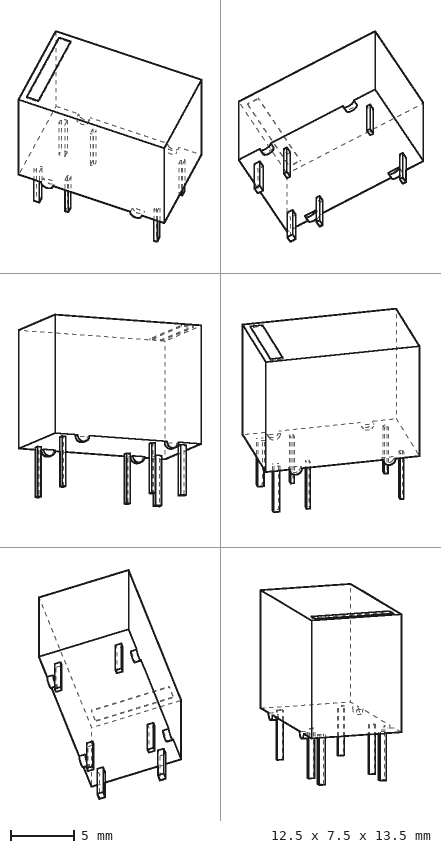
import cadquery as cq

total_height = 13.5
housing_length = 12.5
housing_width = 7.5
pin_length = 4.0
housing_height = total_height - pin_length

foot_radius = 0.5
foot_width = 0.5
foot_x = 3.81

grid_pitch = 2.54
coil_pin_side = 0.5
contact_pin_thickness = 0.3
contact_pin_width = coil_pin_side
coil_pin_x = -5.12
contact_pin_xs = (-grid_pitch, 2 * grid_pitch)
pin_row_ys = (-grid_pitch, grid_pitch)

mark_margin = 0.5
mark_width = 1.0
mark_depth = 0.1
mark_length = housing_width - 2 * mark_margin
mark_x = -housing_length / 2 + mark_margin + mark_width / 2


def make_mark():
    """Rectangular bar whose top face is level with the housing top."""
    return (
        cq.Workplane("XY")
        .workplane(offset=housing_height - mark_depth)
        .center(mark_x, 0)
        .rect(mark_width, mark_length)
        .extrude(mark_depth)
    )


def make_foot(x, y):
    """Round bar along Y; its upper half lies inside the housing."""
    return (
        cq.Workplane("XZ", origin=(x, y + foot_width / 2, 0))
        .circle(foot_radius)
        .extrude(foot_width)
    )


def make_housing(mark):
    """Block with four feet below and a recess for the mark on top."""
    body = cq.Workplane("XY").rect(housing_length, housing_width).extrude(housing_height)
    foot_y = (housing_width - foot_width) / 2
    for x in (-foot_x, foot_x):
        for y in (-foot_y, foot_y):
            body = body.union(make_foot(x, y))
    return body.cut(mark)


def make_pin(x, y, size_x, size_y):
    """Straight pin hanging from the housing's underside."""
    return cq.Workplane("XY").center(x, y).rect(size_x, size_y).extrude(-pin_length)


mark = make_mark()
housing = make_housing(mark)

coil_pins = []
contact_pins = []
for row_y in pin_row_ys:
    coil_pins.append(make_pin(coil_pin_x, row_y, coil_pin_side, coil_pin_side).val())
    for pin_x in contact_pin_xs:
        contact_pin = make_pin(pin_x, row_y, contact_pin_thickness, contact_pin_width)
        contact_pins.append(contact_pin.val())

result = cq.Compound.makeCompound([*housing.solids().vals(), mark.val(), *coil_pins, *contact_pins])